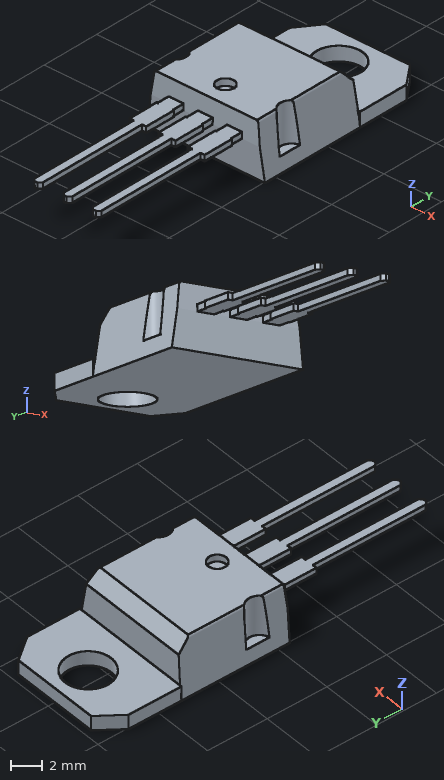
import cadquery as cq

overall_length = 28.9
width = 10.2
height = 4.5
tab_end_y = overall_length / 2
lead_tip_y = -overall_length / 2

tab_thickness = 1.2
tab_root_y = 8.1
tab_corner_x = 1.45
tab_corner_y = 1.95
hole_radius = 1.9
hole_y = 11.65

body_top_width = 9.02
crown_trim = 0.05
body_edge_radius = 0.32
back_bottom_y = 8.15
back_bevel_y = 7.95
back_bevel_z = 3.5
back_top_y = 6.96
parting_z = 2.63
front_parting_y = -1.1
front_draft = 0.12

notch_radius = 0.98
notch_y = 1.55
dimple_radius = 0.72
dimple_y = 0.85
dimple_depth = 0.58

lead_pitch = 2.55
lead_thickness = 0.5
lead_root_y = 0.0
stub_width = 1.3
stub_end_y = -2.1
shoulder_width = 1.47
shoulder_end_y = -4.75
pin_width = 0.75
pin_tip_chamfer = 0.25


def make_tab():
    """Flat tab with cut corners and a mounting hole, ending at the back of the body."""
    half_width = width / 2
    right_side = [
        (half_width, tab_root_y),
        (half_width, tab_end_y - tab_corner_y),
        (half_width - tab_corner_x, tab_end_y),
    ]
    left_side = [(-x, y) for x, y in reversed(right_side)]
    tab = cq.Workplane("XY").polyline(right_side + left_side).close().extrude(tab_thickness)
    hole = cq.Workplane("XY").center(0, hole_y).circle(hole_radius).extrude(tab_thickness)
    return tab.cut(hole)


def make_body():
    """Intersection of the tapered cross-section and the bevelled side profile."""
    crown_z = height + crown_trim
    cross_section = (
        cq.Workplane("XZ", origin=(0, tab_end_y, 0))
        .polyline([
            (-width / 2, 0),
            (width / 2, 0),
            (body_top_width / 2, crown_z),
            (-body_top_width / 2, crown_z),
        ])
        .close()
        .extrude(overall_length)
        .edges("|Y and >Z")
        .fillet(body_edge_radius)
    )
    side_profile = (
        cq.Workplane("YZ")
        .polyline([
            (back_bottom_y, 0),
            (back_bevel_y, back_bevel_z),
            (back_top_y, height),
            (front_parting_y + front_draft, height),
            (front_parting_y, parting_z),
            (front_parting_y + front_draft, 0),
        ])
        .close()
        .extrude(width / 2, both=True)
    )
    return cross_section.intersect(side_profile)


def make_side_notches():
    """Round cutters centred on both sides, open above the tab."""
    return (
        cq.Workplane("XY", origin=(0, notch_y, tab_thickness))
        .pushPoints([(-width / 2, 0), (width / 2, 0)])
        .circle(notch_radius)
        .extrude(height - tab_thickness)
    )


def make_dimple():
    """Shallow round cutter in the top face."""
    return (
        cq.Workplane("XY", origin=(0, dimple_y, height - dimple_depth))
        .circle(dimple_radius)
        .extrude(dimple_depth)
    )


def make_lead(center_x):
    """Flat stepped lead with a chamfered tip, resting on the parting plane."""
    right_side = [
        (stub_width / 2, lead_root_y),
        (stub_width / 2, stub_end_y),
        (shoulder_width / 2, stub_end_y),
        (shoulder_width / 2, shoulder_end_y),
        (pin_width / 2, shoulder_end_y),
        (pin_width / 2, lead_tip_y + pin_tip_chamfer),
        (pin_width / 2 - pin_tip_chamfer, lead_tip_y),
    ]
    left_side = [(-x, y) for x, y in reversed(right_side)]
    return (
        cq.Workplane("XY", origin=(center_x, 0, parting_z))
        .polyline(right_side + left_side)
        .close()
        .extrude(lead_thickness)
    )


body = make_body().cut(make_side_notches()).cut(make_dimple())
result = make_tab().union(body)
for lead_position in (-1, 0, 1):
    result = result.union(make_lead(lead_position * lead_pitch))